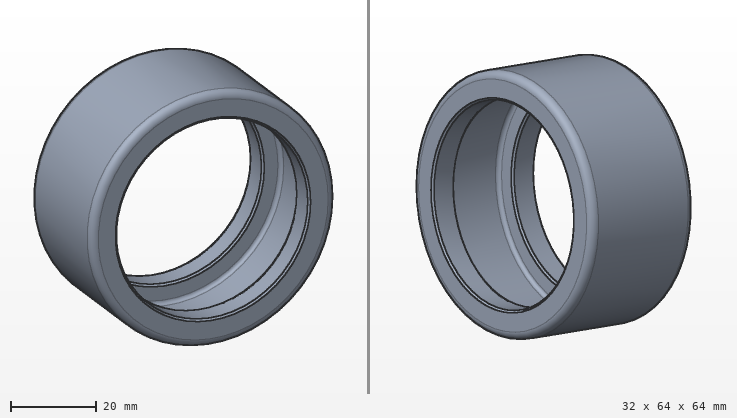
import cadquery as cq

outer_diameter = 64.0
width = 32.0
bore_diameter = 50.0
groove_diameter = 60.0
lip_width = 7.0
outer_rounding = 2.0
groove_rounding = 1.0
lip_chamfer = 0.5


def cylinder(diameter, length):
    """Cylinder along X, centred on the origin."""
    return cq.Workplane("YZ", origin=(-length / 2, 0, 0)).circle(diameter / 2).extrude(length)


body = cylinder(outer_diameter, width).edges().fillet(outer_rounding)

groove_width = width - 2 * lip_width
body = body.cut(cylinder(bore_diameter, width))
groove = cylinder(groove_diameter, groove_width).edges().fillet(groove_rounding)
body = body.cut(groove)

tolerance = 0.0005


def is_bore_edge(edge):
    """True for circles that have the bore radius."""
    return abs(edge.radius() - bore_diameter / 2) < tolerance


result = body.edges("%CIRCLE").filter(is_bore_edge).chamfer(lip_chamfer)